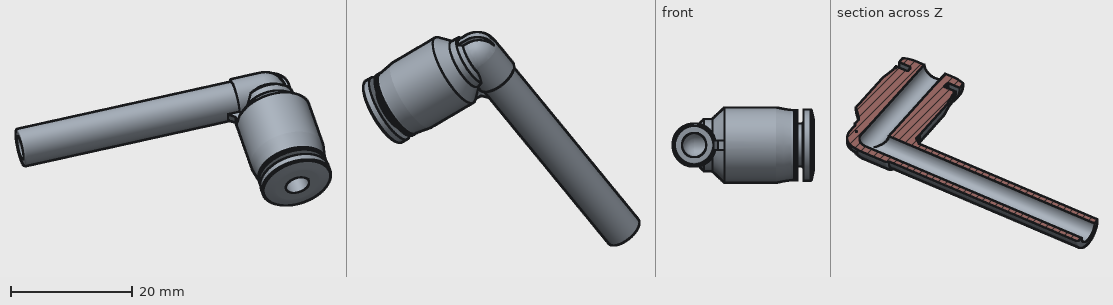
import cadquery as cq

body_radius = 12.5 / 2
overall_length = 48.25
overall_width = 23.35
stem_radius = 6.35 / 2
stem_end_y = body_radius - overall_length
stem_end_rounding = 0.3
bore_radius = 4.0 / 2

elbow_radius = 7.15 / 2
sleeve_length = 5.25
sleeve_end_rounding = elbow_radius - stem_radius

collar_radius = 4.35
collar_start_x = 1.65
collar_bevel = collar_radius - elbow_radius
cone_start_x = 3.0
cone_end_x = 5.0
taper_start_x = 13.55
taper_end_x = 16.0
front_radius = 11.65 / 2
front_x = 17.05
groove_start_x = 16.45
groove_width = 0.3
groove_depth = 0.15

neck_radius = elbow_radius
neck_flare = 0.2
ring_radius = 11.8 / 2
ring_start_x = 18.05
ring_rim_x = 19.4
ring_rim_bevel = 0.2
ring_end_x = overall_width - elbow_radius
ring_face_radius = 3.75
ring_dome_radius = 5.8

rib_thickness = 1.6
rib_outer_x = -3.43
rib_outer_y = 4.1
rib_corner_radius = 3.15
web_tip_y = -7.25
web_flat_y = -6.22
web_flat_x = 3.95


def cylinder_along_x(radius, end_x):
    return cq.Workplane("YZ").circle(radius).extrude(end_x)


def cylinder_along_y(radius, end_y):
    return cq.Workplane("XZ").circle(radius).extrude(-end_y)


def plate(outline):
    """Extrude an XY outline to the rib thickness, centred on Z = 0."""
    return outline.close().extrude(rib_thickness / 2, both=True)


def make_stem():
    return cylinder_along_y(stem_radius, stem_end_y).faces("<Y").edges().fillet(stem_end_rounding)


def make_elbow():
    sleeve = cylinder_along_y(elbow_radius, -sleeve_length)
    sleeve = sleeve.faces("<Y").edges().fillet(sleeve_end_rounding)
    ball = cq.Workplane("XY").sphere(elbow_radius)
    arm = cylinder_along_x(elbow_radius, collar_start_x)
    return ball.union(sleeve).union(arm)


def make_body():
    groove_end_x = groove_start_x + groove_width
    groove_radius = front_radius - groove_depth
    profile = (
        cq.Workplane("XY")
        .moveTo(collar_start_x - collar_bevel, 0)
        .lineTo(collar_start_x - collar_bevel, elbow_radius)
        .lineTo(collar_start_x, collar_radius)
        .lineTo(cone_start_x, collar_radius)
        .lineTo(cone_end_x, body_radius)
        .lineTo(taper_start_x, body_radius)
        .lineTo(taper_end_x, front_radius)
        .lineTo(groove_start_x, front_radius)
        .lineTo(groove_start_x, groove_radius)
        .lineTo(groove_end_x, groove_radius)
        .lineTo(groove_end_x, front_radius)
        .lineTo(front_x, front_radius)
        .lineTo(front_x, neck_radius)
        .lineTo(ring_start_x - neck_flare, neck_radius)
        .lineTo(ring_start_x, neck_radius + neck_flare)
        .lineTo(ring_start_x, ring_radius)
        .lineTo(ring_rim_x - ring_rim_bevel, ring_radius)
        .lineTo(ring_rim_x, ring_radius - ring_rim_bevel)
        .radiusArc((ring_end_x, ring_face_radius), ring_dome_radius)
        .lineTo(ring_end_x, 0)
        .close()
    )
    return profile.revolve(360, (0, 0, 0), (1, 0, 0))


def make_corner_rib():
    outline = (
        cq.Workplane("XY")
        .lineTo(rib_outer_x, 0)
        .lineTo(rib_outer_x, rib_outer_y - rib_corner_radius)
        .radiusArc((rib_outer_x + rib_corner_radius, rib_outer_y), rib_corner_radius)
        .lineTo(collar_start_x, rib_outer_y)
        .lineTo(collar_start_x, 0)
    )
    return plate(outline)


def make_inner_web():
    outline = (
        cq.Workplane("XY")
        .lineTo(0, web_tip_y)
        .lineTo(stem_radius, web_tip_y)
        .lineTo(web_flat_x, web_flat_y)
        .lineTo(cone_end_x, web_flat_y)
        .lineTo(cone_end_x, 0)
    )
    return plate(outline)


def make_bore():
    """Flow passage from the stem end, round the corner and out of the ring."""
    corner = cq.Workplane("XY").sphere(bore_radius)
    stem_bore = cylinder_along_y(bore_radius, stem_end_y)
    body_bore = cylinder_along_x(bore_radius, ring_end_x)
    return corner.union(stem_bore).union(body_bore)


result = (
    make_body()
    .union(make_elbow())
    .union(make_stem())
    .union(make_corner_rib())
    .union(make_inner_web())
    .cut(make_bore())
)